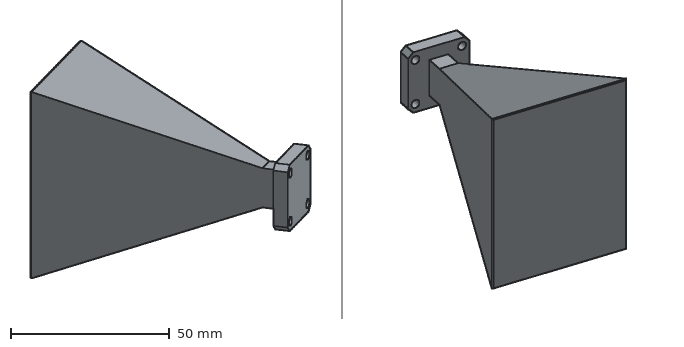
import cadquery as cq

total_length = 81.3

mouth_width = 49.0
mouth_height = 62.75
rim_length = 0.5
rim_inset_y = 0.5
rim_inset_z = 0.25

neck_width = 6.8
neck_height = 13.25
neck_length = 6.25

flange_size = 22.35
flange_thickness = 4.8
corner_cut = 1.9
hole_diameter = 2.9
hole_spacing_y = 17.0
hole_spacing_z = 16.25

flange_start = total_length - flange_thickness
neck_start = flange_start - neck_length


def tapered_block(x_start, start_size, x_end, end_size):
    """Solid between two centred rectangles, each given as (Y width, Z height)."""
    return (
        cq.Workplane("YZ", origin=(x_start, 0, 0))
        .rect(*start_size)
        .workplane(offset=x_end - x_start)
        .rect(*end_size)
        .loft(ruled=True, combine=True)
    )


def make_flange():
    """Square plate with cut corners and four through holes."""
    plate = (
        cq.Workplane("YZ", origin=(flange_start, 0, 0))
        .rect(flange_size, flange_size)
        .extrude(flange_thickness)
        .edges("|X")
        .chamfer(corner_cut)
    )
    return (
        plate.faces("<X")
        .workplane(origin=(flange_start, 0, 0))
        .rect(hole_spacing_y, hole_spacing_z, forConstruction=True)
        .vertices()
        .hole(hole_diameter)
    )


mouth_size = (mouth_width, mouth_height)
rim_face_size = (mouth_width - 2 * rim_inset_y, mouth_height - 2 * rim_inset_z)
neck_size = (neck_width, neck_height)

rim = tapered_block(0, rim_face_size, rim_length, mouth_size)
horn = tapered_block(rim_length, mouth_size, neck_start, neck_size)
neck = tapered_block(neck_start, neck_size, flange_start, neck_size)

result = rim.union(horn).union(neck).union(make_flange())